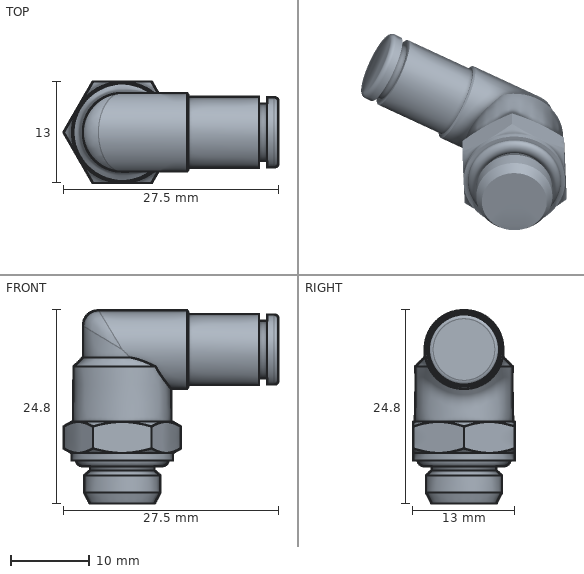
import cadquery as cq
import math


total_length = 27.5
total_height = 24.75

thread_radius = 9.75 / 2
neck_radius = 8.3 / 2
lead_in_height = 1.4
thread_top_z = 3.6
neck_start_z = 4.25
flange_bottom_z = 5.5
flange_radius = 13.0 / 2
hex_bottom_z = 6.45
hex_top_z = 10.48
hex_across_flats = 13.0
hex_across_corners = hex_across_flats / math.cos(math.radians(30))
outlet_reach = total_length - hex_across_corners / 2
hex_face_radius = 6.45
hex_chamfer_angle = 30.0

seal_radius = 11.88 / 2
seal_bottom_z = 4.75
seal_section_radius = (seal_radius - neck_radius) / 2
seal_ring_radius = (seal_radius + neck_radius) / 2
seal_center_z = seal_bottom_z + seal_section_radius
recess_top_z = seal_bottom_z + 2 * seal_section_radius

base_bottom_radius = 12.65 / 2
base_top_radius = 12.5 / 2
base_top_z = 17.52
elbow_radius = 10.1 / 2
shoulder_top_z = 18.7
outlet_z = total_height - elbow_radius
corner_round = 2.0
sleeve_end_x = 8.47
sleeve_chamfer_length = 0.2
sleeve_chamfer_depth = 0.3
barrel_radius = 9.1 / 2
barrel_end_x = 17.52

collar_stem_radius = 7.4 / 2
collar_head_radius = 9.0 / 2
collar_head_x = 18.55
collar_round = 0.55


def revolve_about_z(points):
    """Solid of revolution about Z from (radius, z) points."""
    return cq.Workplane("XZ").polyline(points).close().revolve(360, (0, 0), (0, 1))


def cylinder_along_x(radius, start_x, end_x):
    """Cylinder on the outlet axis between two X positions."""
    plane = cq.Workplane("YZ", origin=(start_x, 0, outlet_z))
    return plane.circle(radius).extrude(end_x - start_x)


def make_hexagon():
    """Hexagon with corners on the X axis and both ends chamfered to a circle."""
    corner_radius = hex_across_corners / 2
    chamfer_height = (corner_radius - hex_face_radius) * math.tan(math.radians(hex_chamfer_angle))
    prism = (
        cq.Workplane("XY", origin=(0, 0, hex_bottom_z))
        .polygon(6, hex_across_corners)
        .extrude(hex_top_z - hex_bottom_z)
    )
    envelope = revolve_about_z([
        (0, hex_bottom_z),
        (hex_face_radius, hex_bottom_z),
        (corner_radius, hex_bottom_z + chamfer_height),
        (corner_radius, hex_top_z - chamfer_height),
        (hex_face_radius, hex_top_z),
        (0, hex_top_z),
    ])
    return prism.intersect(envelope)


def make_stud():
    """Threaded end, undercut neck, and a hexagon flange with a recess for the seal."""
    turned = revolve_about_z([
        (0, 0),
        (neck_radius, 0),
        (thread_radius, lead_in_height),
        (thread_radius, thread_top_z),
        (neck_radius, neck_start_z),
        (neck_radius, flange_bottom_z),
        (flange_radius, flange_bottom_z),
        (flange_radius, hex_bottom_z),
        (0, hex_bottom_z),
    ])
    seal_recess = (
        cq.Workplane("XY", origin=(0, 0, flange_bottom_z))
        .circle(seal_radius)
        .circle(neck_radius)
        .extrude(recess_top_z - flange_bottom_z)
    )
    return turned.union(make_hexagon()).cut(seal_recess)


def make_seal():
    """Round-section ring seated between the neck and the wall of the recess."""
    section = cq.Workplane("XZ").center(seal_ring_radius, seal_center_z).circle(seal_section_radius)
    return section.revolve(360, (-seal_ring_radius, 0), (-seal_ring_radius, 1))


def make_side_wedge(start, end):
    """Wedge from the crossing of the two axes, spanned by two (x, z) directions, across all Y."""
    reach = 2 * total_height
    plane = cq.Workplane("XZ", origin=(0, 0, outlet_z))
    corners = [(0, 0)] + [(reach * x, reach * z) for x, z in (start, end)]
    return plane.polyline(corners).close().extrude(reach, both=True)


def make_mitred_pipes(radius):
    """Two equal cylinders, upright and level, joined on a 45 degree mitre."""
    upright = cq.Workplane("XY", origin=(0, 0, base_top_z)).circle(radius).extrude(total_height - base_top_z)
    level = cylinder_along_x(radius, -radius, sleeve_end_x)
    above_mitre = make_side_wedge((-1, 1), (1, 1)).union(make_side_wedge((1, 1), (1, -1)))
    return upright.cut(above_mitre).union(level.intersect(above_mitre))


def make_corner_round():
    """Half-elliptical tube that a ball of the corner radius fills as it rolls along the mitre."""
    inner_radius = elbow_radius - corner_round
    mitre_plane = cq.Plane(origin=(0, 0, outlet_z), xDir=(0, 1, 0), normal=(1, 0, 1))
    path = cq.Workplane(mitre_plane).ellipseArc(
        inner_radius,
        inner_radius * math.sqrt(2),
        0,
        180,
        startAtCurrent=False,
    )
    end_plane = cq.Plane(origin=(0, inner_radius, outlet_z), xDir=(0, 1, 0), normal=(-1, 0, 1))
    return cq.Workplane(end_plane).circle(corner_round).sweep(path)


def make_mitred_corner():
    """Mitred pipes with the outer mitre edge rounded, the round fading out at the sides."""
    pipes = make_mitred_pipes(elbow_radius)
    touch_slope = (elbow_radius - corner_round) / elbow_radius
    edge_zone = make_side_wedge((-1, touch_slope), (-touch_slope, 1))
    core = make_mitred_pipes(elbow_radius - corner_round)
    rounded_zone = edge_zone.intersect(make_corner_round()).union(edge_zone.intersect(core))
    return pipes.cut(edge_zone).union(rounded_zone)


def make_elbow():
    """Tapered base, mitred corner, and the sleeve and barrel of the outlet."""
    base = revolve_about_z([
        (0, hex_top_z),
        (base_bottom_radius, hex_top_z),
        (base_top_radius, base_top_z),
        (elbow_radius, shoulder_top_z),
        (0, shoulder_top_z),
    ])
    corner = make_mitred_corner()
    corner = corner.faces(">X").edges().chamfer(sleeve_chamfer_length, sleeve_chamfer_depth)
    barrel = cylinder_along_x(barrel_radius, sleeve_end_x, barrel_end_x)
    return corner.union(base).union(barrel)


def make_collar():
    """Stem against the barrel end and a head with a rounded outer rim."""
    stem = cylinder_along_x(collar_stem_radius, barrel_end_x, collar_head_x)
    head = cylinder_along_x(collar_head_radius, collar_head_x, outlet_reach)
    head = head.faces(">X").edges().fillet(collar_round)
    return stem.union(head)


stud = make_stud()
seal = make_seal()
elbow = make_elbow()
release_collar = make_collar()

result = cq.Compound.makeCompound([stud.val(), seal.val(), elbow.val(), release_collar.val()])